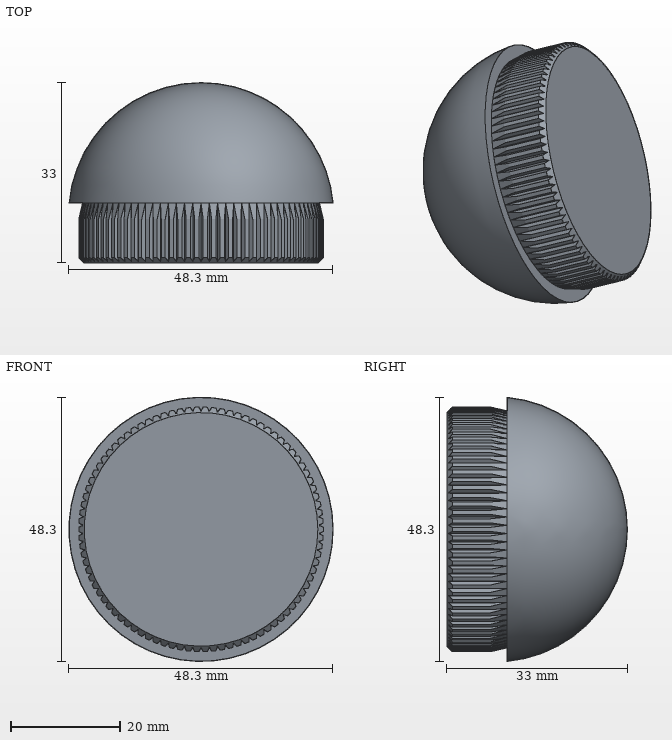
import cadquery as cq
import math

dome_diameter = 48.3
dome_height = 22.0
plug_length = 11.0

plug_radius = 22.35
chamfer = 1.0
taper_length = 3.0

groove_count = 90
groove_mouth = 0.8
groove_depth = 0.7

groove_root_radius = plug_radius - groove_depth
neck_radius = groove_root_radius


def spin_about_y(profile):
    """Revolve a closed half profile drawn in the XY plane about the Y axis."""
    return profile.close().revolve(axisStart=(0, 0, 0), axisEnd=(0, 1, 0))


def make_dome():
    """Spherical cap with a flat underside."""
    rim_radius = dome_diameter / 2
    sphere_radius = (rim_radius**2 + dome_height**2) / (2 * dome_height)
    centre_height = dome_height - sphere_radius
    mid_angle = math.pi / 4
    mid_point = (
        sphere_radius * math.cos(mid_angle),
        centre_height + sphere_radius * math.sin(mid_angle),
    )
    profile = (
        cq.Workplane("XY")
        .lineTo(rim_radius, 0)
        .threePointArc(mid_point, (0, dome_height))
    )
    return spin_about_y(profile)


def make_toothed_prism():
    """Straight prism along Y whose outline carries all the V grooves."""
    pitch_angle = 2 * math.pi / groove_count
    half_mouth_angle = math.asin(groove_mouth / 2 / plug_radius)

    def at(radius, angle):
        return (radius * math.sin(angle), radius * math.cos(angle))

    outline = cq.Workplane("XZ").moveTo(*at(groove_root_radius, 0))
    for index in range(groove_count):
        root_angle = index * pitch_angle
        land_start = root_angle + half_mouth_angle
        land_middle = root_angle + pitch_angle / 2
        land_end = root_angle + pitch_angle - half_mouth_angle
        outline = outline.lineTo(*at(plug_radius, land_start))
        outline = outline.threePointArc(
            at(plug_radius, land_middle), at(plug_radius, land_end)
        )
        if index < groove_count - 1:
            outline = outline.lineTo(*at(groove_root_radius, root_angle + pitch_angle))
    return outline.close().extrude(plug_length)


def make_plug_envelope():
    """Turned shape of the plug: tapered neck, cylinder and end chamfer."""
    profile = (
        cq.Workplane("XY")
        .lineTo(neck_radius, 0)
        .lineTo(plug_radius, -taper_length)
        .lineTo(plug_radius, -(plug_length - chamfer))
        .lineTo(plug_radius - chamfer, -plug_length)
        .lineTo(0, -plug_length)
    )
    return spin_about_y(profile)


plug = make_toothed_prism().intersect(make_plug_envelope())
result = make_dome().union(plug)